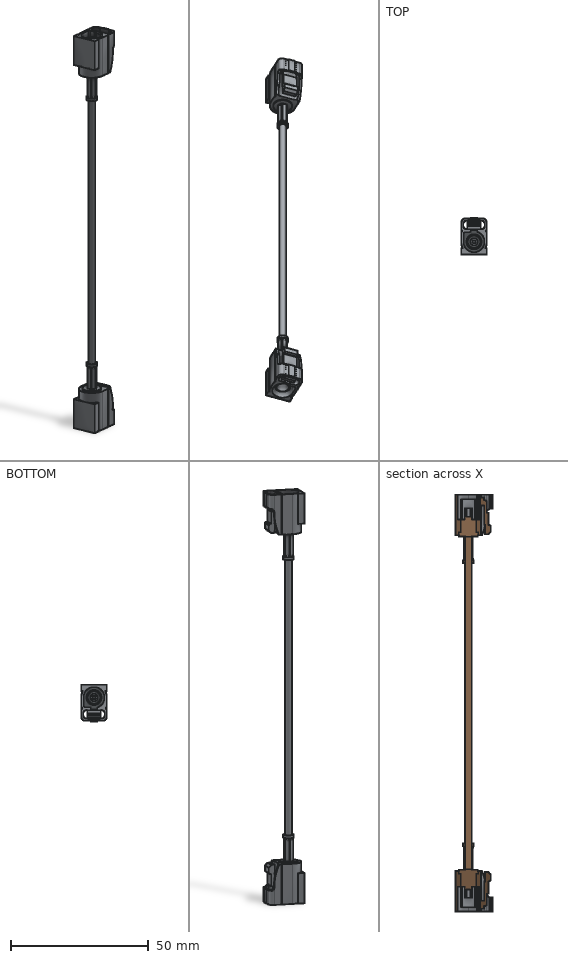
import cadquery as cq
import math

total_length = 151.16
mating_z = total_length / 2

half_width = 4.7
roof_y = 8.5
roof_corner_radius = 1.65
housing_depth = 14.8
base_block_top_y = -2.28
base_block_depth = 11.15
groove_low_y = 3.65
groove_high_y = 4.1
groove_depth = 0.3
bridge_depth = 5.2
tab_half_width = 1.14
tab_top_y = 8.78

channel_half_width = 3.87
channel_floor_y = 4.6
channel_roof_y = 7.6
channel_corner_radius = 1.2
bridge_notch_half_width = 2.05
bridge_notch_top_y = 8.05

wall_edge_start = (6.68, 5.95)
wall_edge_middle = (6.14, 11.2)
wall_edge_end = (4.9, housing_depth)

lever_half_width = 2.5
lever_front_depth = 1.0
arm_front_depth = 2.0
arm_front_chamfer = 0.5
lever_root_end_depth = 4.0
lever_inner_y = 5.7
lever_outer_y = 6.7
lever_step_y = 7.3
lever_step_depth = 6.5
knob_inner_y = 6.0
knob_outer_y = 8.2
knob_front_depth = 11.0
knob_rear_depth = 14.4
knob_front_chamfer = 0.5
knob_rear_chamfer = 1.0

cavity_radius = 3.8
cavity_depth = 9.0
code_pocket_top_y = 3.5
code_pocket_chamfer = 0.45
keyway_half_width = 1.14
keyway_top_y = 4.2

contact_tip_depth = 1.6
contact_tip_chamfer = 0.25
contact_diameter = 5.51
contact_disc_diameter = 6.88
contact_disc_front_depth = 13.8
contact_rear_depth = 15.2
socket_diameter = 4.5
socket_end_depth = 9.0
post_diameter = 2.7
post_tip_depth = 5.0
pin_hole_diameter = 1.2
pin_hole_length = 3.0

cable_diameter = 2.59
ferrule_diameter = 3.6
ferrule_across_flats = 3.3
flats_end_depth = 22.9
flange_diameter = 3.99
flange_front_depth = 23.8
flange_rear_depth = 24.8


def at_depth(depth):
    return mating_z - depth


def cylinder(diameter, front_depth, rear_depth):
    """Cylinder on the cable axis between two depths."""
    rear = cq.Workplane("XY").workplane(offset=at_depth(rear_depth))
    return rear.circle(diameter / 2).extrude(rear_depth - front_depth)


def block(half_x, low_y, high_y, front_depth, rear_depth):
    """Box centred on X, between two Y levels and two depths."""
    size = (2 * half_x, high_y - low_y, rear_depth - front_depth)
    corner = (-half_x, low_y, at_depth(rear_depth))
    return cq.Workplane("XY").box(*size, centered=False).translate(corner)


def make_shell():
    """Round-bottomed outer body with the base block, side grooves and bridge tab."""
    shell = (
        cq.Workplane("XY").workplane(offset=at_depth(housing_depth))
        .moveTo(-half_width, roof_y)
        .lineTo(-half_width, 0)
        .threePointArc((0, -half_width), (half_width, 0))
        .lineTo(half_width, roof_y)
        .close()
        .extrude(housing_depth)
        .edges("|Z and >Y").fillet(roof_corner_radius)
    )
    shell = shell.union(block(half_width, -half_width, base_block_top_y, 0, base_block_depth))
    groove = block(groove_depth, groove_low_y, groove_high_y, 0, housing_depth)
    for side in (-1, 1):
        shell = shell.cut(groove.translate((side * half_width, 0, 0)))
    return shell.union(block(tab_half_width, channel_roof_y, tab_top_y, 0, bridge_depth))


def cut_latch_channel(shell):
    """Open the latch channel and lower the side walls behind the bridge."""
    channel = block(channel_half_width, channel_floor_y, channel_roof_y, 0, housing_depth)
    shell = shell.cut(channel.edges("|Z").fillet(channel_corner_radius))
    shell = shell.cut(block(bridge_notch_half_width, channel_floor_y, bridge_notch_top_y, 0, bridge_depth))
    start_y, start_depth = wall_edge_start
    middle_y, middle_depth = wall_edge_middle
    end_y, end_depth = wall_edge_end
    above_walls = (
        cq.Workplane("YZ").workplane(offset=-half_width)
        .moveTo(tab_top_y, at_depth(bridge_depth))
        .lineTo(channel_roof_y, at_depth(bridge_depth))
        .lineTo(start_y, at_depth(start_depth))
        .threePointArc((middle_y, at_depth(middle_depth)), (end_y, at_depth(end_depth)))
        .lineTo(tab_top_y, at_depth(housing_depth))
        .close()
        .extrude(2 * half_width)
    )
    return shell.cut(above_walls)


def make_lever():
    """Latch lever with its root on the channel floor and a finger knob at the rear."""
    root = block(lever_half_width, channel_floor_y, lever_inner_y, lever_front_depth, lever_root_end_depth)
    arm = block(lever_half_width, lever_inner_y, lever_outer_y, arm_front_depth, knob_front_depth)
    arm = arm.edges(">Z and >Y").chamfer(arm_front_chamfer)
    step = block(lever_half_width, lever_outer_y, lever_step_y, lever_step_depth, knob_front_depth)
    knob = block(lever_half_width, knob_inner_y, knob_outer_y, knob_front_depth, knob_rear_depth)
    knob = knob.edges(">Y and >Z").chamfer(knob_front_chamfer)
    knob = knob.edges(">Y and <Z").chamfer(knob_rear_chamfer)
    return root.union(arm).union(step).union(knob)


def cut_mating_cavity(shell):
    """Round cavity with a coding pocket and a keyway, and the seat for the contact."""
    shell = shell.cut(cylinder(2 * cavity_radius, 0, cavity_depth))
    code_pocket = block(cavity_radius / 2, 0, code_pocket_top_y, 0, cavity_depth)
    code_pocket = code_pocket.edges("|Z and <X and >Y").chamfer(code_pocket_chamfer)
    shell = shell.cut(code_pocket.translate((-cavity_radius / 2, 0, 0)))
    shell = shell.cut(block(keyway_half_width, 0, keyway_top_y, 0, cavity_depth))
    shell = shell.cut(cylinder(contact_diameter, 0, housing_depth))
    return shell.cut(cylinder(contact_disc_diameter, contact_disc_front_depth, housing_depth))


def make_housing():
    return cut_mating_cavity(cut_latch_channel(make_shell())).union(make_lever())


def make_contact():
    """Tubular contact with a rear disc and, inside the socket, a centre post with a pin hole."""
    tube = cylinder(contact_diameter, contact_tip_depth, contact_disc_front_depth)
    contact = (
        tube.edges(">Z").chamfer(contact_tip_chamfer)
        .union(cylinder(contact_disc_diameter, contact_disc_front_depth, contact_rear_depth))
        .cut(cylinder(socket_diameter, contact_tip_depth, socket_end_depth))
        .union(cylinder(post_diameter, post_tip_depth, socket_end_depth))
    )
    return contact.cut(cylinder(pin_hole_diameter, post_tip_depth, post_tip_depth + pin_hole_length))


def make_ferrule():
    """Round sleeve crimped to a hexagon that runs out on a cone, with a flange at the cable end."""
    sleeve = cylinder(ferrule_diameter, contact_rear_depth, flange_front_depth)
    crimp_length = flange_front_depth - contact_rear_depth
    across_corners = ferrule_across_flats / math.cos(math.pi / 6)
    hexagon = (
        cq.Workplane("XY").workplane(offset=at_depth(flange_front_depth))
        .polygon(6, across_corners).extrude(crimp_length)
    )
    cone = (
        cq.Workplane("XY").workplane(offset=at_depth(flange_front_depth))
        .circle(ferrule_diameter / 2)
        .workplane(offset=flange_front_depth - flats_end_depth)
        .circle(ferrule_across_flats / 2)
        .loft(ruled=True)
    )
    crimp_waste = cylinder(flange_diameter, contact_rear_depth, flange_front_depth).cut(hexagon).cut(cone)
    flange = cylinder(flange_diameter, flange_front_depth, flange_rear_depth)
    ferrule = sleeve.cut(crimp_waste).union(flange)
    return ferrule.cut(cylinder(cable_diameter, contact_rear_depth, flange_rear_depth))


def make_cable():
    return cylinder(cable_diameter, contact_rear_depth, total_length - contact_rear_depth)


bodies = [make_cable().val()]
for make_body in (make_housing, make_contact, make_ferrule):
    upper_body = make_body()
    bodies.append(upper_body.val())
    bodies.append(upper_body.mirror("XY").val())

result = cq.Compound.makeCompound(bodies)